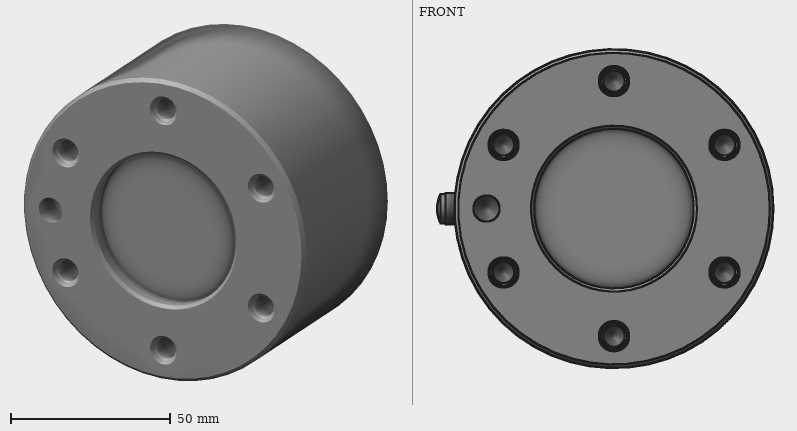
import cadquery as cq
import math

outer_length = 105.5

body_radius = 50.0
body_length = 56.1
rim_chamfer = 1.2

recess_radius = 25.0
recess_depth = 6.0
recess_chamfer = 1.0

pitch_radius = 40.0
drill_point_angle = 118

bolt_hole_count = 6
bolt_hole_spacing = math.tau / bolt_hole_count
first_bolt_angle = math.pi / 2
bolt_mouth_radius = 4.7
bolt_mouth_depth = 0.8
bolt_thread_radius = 4.1
bolt_thread_lead = 0.3
bolt_core_radius = 3.4
bolt_hole_depth = 15.8

pin_hole_radius = 4.1
pin_hole_depth = 10.0

screw_offset = 18.0
shank_radius = 5.0
shank_reach = 52.8
shank_root = 42.2
head_radius = 4.6
dome_radius = 9.8
slot_width = 1.4
slot_depth = 1.3
slot_length = 7.0

crest_loss = dome_radius - math.sqrt(dome_radius**2 - (slot_width / 2) ** 2)
dome_crest = outer_length - body_radius + crest_loss
dome_start = dome_crest - dome_radius + math.sqrt(dome_radius**2 - head_radius**2)


def revolve_about_y(profile, x=0, z=0):
    """Turn a closed (radius, depth) profile about an axis parallel to Y."""
    solid = cq.Workplane("XY").polyline(profile).close().revolve(360, (0, 0, 0), (0, 1, 0))
    return solid.translate((x, 0, z))


def drill_tip(radius):
    """Length of the conical drill point of a hole."""
    return radius / math.tan(math.radians(drill_point_angle / 2))


def make_body():
    return revolve_about_y([
        (0, 0),
        (body_radius - rim_chamfer, 0),
        (body_radius, rim_chamfer),
        (body_radius, body_length),
        (0, body_length),
    ])


def make_recess():
    return revolve_about_y([
        (0, 0),
        (recess_radius + recess_chamfer, 0),
        (recess_radius, recess_chamfer),
        (recess_radius, recess_depth),
        (0, recess_depth),
    ])


def make_bolt_hole(angle):
    """Threaded hole: countersunk mouth, short lead, cone to the core, drill point."""
    lead_end = bolt_mouth_depth + bolt_thread_lead
    core_start = lead_end + bolt_thread_radius - bolt_core_radius
    profile = [
        (0, 0),
        (bolt_mouth_radius, 0),
        (bolt_thread_radius, bolt_mouth_depth),
        (bolt_thread_radius, lead_end),
        (bolt_core_radius, core_start),
        (bolt_core_radius, bolt_hole_depth),
        (0, bolt_hole_depth + drill_tip(bolt_core_radius)),
    ]
    x = pitch_radius * math.cos(angle)
    z = pitch_radius * math.sin(angle)
    return revolve_about_y(profile, x, z)


def make_pin_hole():
    profile = [
        (0, 0),
        (pin_hole_radius, 0),
        (pin_hole_radius, pin_hole_depth),
        (0, pin_hole_depth + drill_tip(pin_hole_radius)),
    ]
    return revolve_about_y(profile, -pitch_radius)


def make_screw():
    """Shank, narrower domed head and a straight slot along Z in the dome."""
    half_angle = math.asin(head_radius / dome_radius) / 2
    dome_middle = (
        dome_radius - dome_crest - dome_radius * math.cos(half_angle),
        dome_radius * math.sin(half_angle),
    )
    screw = (
        cq.Workplane("XY")
        .moveTo(-shank_root, 0)
        .lineTo(-shank_root, shank_radius)
        .lineTo(-shank_reach, shank_radius)
        .lineTo(-shank_reach, head_radius)
        .lineTo(-dome_start, head_radius)
        .threePointArc(dome_middle, (-dome_crest, 0))
        .close()
        .revolve(360, (0, 0, 0), (1, 0, 0))
    )
    slot = cq.Workplane("XY").box(2 * slot_depth, slot_width, slot_length)
    return screw.cut(slot.translate((-dome_crest, 0, 0))).translate((0, screw_offset, 0))


result = make_body().union(make_screw()).cut(make_recess()).cut(make_pin_hole())
for index in range(bolt_hole_count):
    result = result.cut(make_bolt_hole(first_bolt_angle + index * bolt_hole_spacing))